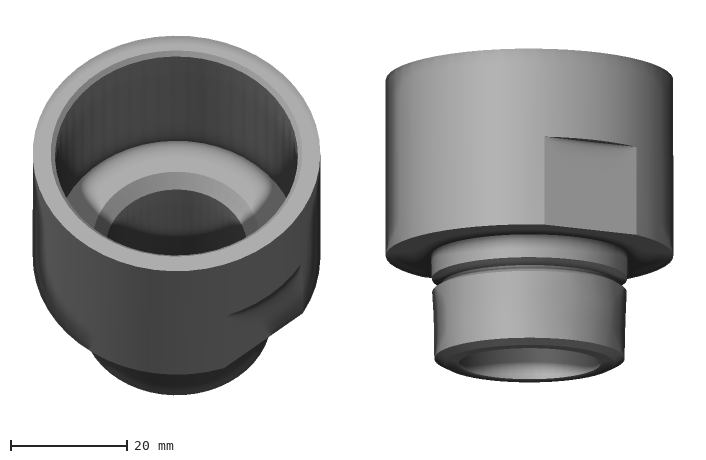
import cadquery as cq

total_height = 50.0
shoulder_z = 19.0
cup_floor_z = 24.0

body_radius = 24.75
cup_radius = 20.9
rim_chamfer = 0.75

flat_distance = 23.1
flat_height = 15.5

spigot_top_radius = 16.95
taper_slope = 1 / 32
tip_chamfer_height = 0.9
tip_radius = 14.7

groove_top_z = 15.0
groove_bottom_z = 12.6
groove_floor_top_z = 14.0
groove_floor_bottom_z = 13.6
groove_radius = 15.15

bore_radius = 12.2
countersink = 2.2


def spigot_radius(z):
    """Radius of the tapered spigot at height z."""
    return spigot_top_radius - (shoulder_z - z) * taper_slope


def revolved_body():
    """Cup, spigot, groove and bore as one revolved half-section."""
    half_section = [
        (bore_radius, 0),
        (tip_radius, 0),
        (spigot_radius(tip_chamfer_height), tip_chamfer_height),
        (spigot_radius(groove_bottom_z), groove_bottom_z),
        (groove_radius, groove_floor_bottom_z),
        (groove_radius, groove_floor_top_z),
        (spigot_radius(groove_top_z), groove_top_z),
        (spigot_top_radius, shoulder_z),
        (body_radius, shoulder_z),
        (body_radius, total_height),
        (cup_radius + rim_chamfer, total_height),
        (cup_radius, total_height - rim_chamfer),
        (cup_radius, cup_floor_z),
        (bore_radius + countersink, cup_floor_z),
        (bore_radius, cup_floor_z - countersink),
    ]
    return cq.Workplane("XZ").polyline(half_section).close().revolve(360, (0, 0, 0), (0, 1, 0))


def flat_cutter(side):
    """Block outside one wrench flat; side is -1 or +1 along X."""
    block_depth = body_radius
    block_width = 2 * body_radius
    return (
        cq.Workplane("XY", origin=(side * (flat_distance + block_depth / 2), 0, shoulder_z))
        .box(block_depth, block_width, flat_height, centered=(True, True, False))
    )


result = revolved_body()
for side in (-1, 1):
    result = result.cut(flat_cutter(side))